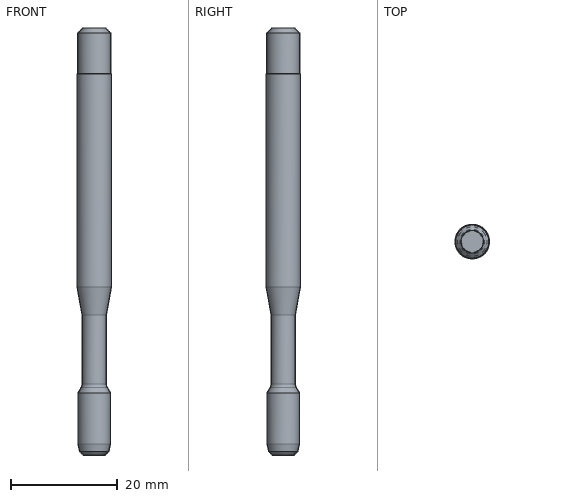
import cadquery as cq
import math


TIP_FACE_DIAMETER = 4.0
HEAD_DIAMETER = 6.11
NECK_DIAMETER = 4.57
SHANK_DIAMETER = 6.48
DRIVE_END_DIAMETER = 6.22

TOTAL_LENGTH = 80.2
TAPER_TOP_Z = 2.1
FILLET_TOP_Z = 13.4
NECK_TOP_Z = 26.3
SHANK_BOTTOM_Z = 31.6
DRIVE_END_BOTTOM_Z = 71.6

TIP_CHAMFER = 0.75
TOP_CHAMFER = 1.0
SHOULDER_CHAMFER_HEIGHT = 0.1
COLLAR_ANGLE = math.radians(30)
NECK_FILLET_RADIUS = 1.25

head_radius = HEAD_DIAMETER / 2
neck_radius = NECK_DIAMETER / 2
shank_radius = SHANK_DIAMETER / 2
drive_end_radius = DRIVE_END_DIAMETER / 2
tip_face_radius = TIP_FACE_DIAMETER / 2


def neck_fillet_point(angle):
    """Point on the fillet, at the given angle away from its tangent point on the neck."""
    radius = neck_radius + NECK_FILLET_RADIUS * (1 - math.cos(angle))
    height = FILLET_TOP_Z - NECK_FILLET_RADIUS * math.sin(angle)
    return radius, height


collar_top_radius, collar_top_z = neck_fillet_point(COLLAR_ANGLE)
head_top_z = collar_top_z - (head_radius - collar_top_radius) / math.tan(COLLAR_ANGLE)


def revolve_about_z(profile):
    """Turn a half profile, drawn as radius and height, about the Z axis."""
    return profile.close().revolve(360, (0, 0, 0), (0, 1, 0))


def make_head():
    """Cylindrical head with a chamfered tip and a slight taper above the chamfer."""
    profile = (
        cq.Workplane("XZ")
        .lineTo(tip_face_radius, 0)
        .lineTo(tip_face_radius + TIP_CHAMFER, TIP_CHAMFER)
        .lineTo(head_radius, TAPER_TOP_Z)
        .lineTo(head_radius, head_top_z)
        .lineTo(0, head_top_z)
    )
    return revolve_about_z(profile)


def make_stem():
    """Collar, filleted neck, cone, shank and chamfered drive end, seated on the head."""
    profile = (
        cq.Workplane("XZ")
        .moveTo(0, head_top_z)
        .lineTo(head_radius, head_top_z)
        .lineTo(collar_top_radius, collar_top_z)
        .threePointArc(neck_fillet_point(COLLAR_ANGLE / 2), neck_fillet_point(0))
        .lineTo(neck_radius, NECK_TOP_Z)
        .lineTo(shank_radius, SHANK_BOTTOM_Z)
        .lineTo(shank_radius, DRIVE_END_BOTTOM_Z - SHOULDER_CHAMFER_HEIGHT)
        .lineTo(drive_end_radius, DRIVE_END_BOTTOM_Z)
        .lineTo(drive_end_radius, TOTAL_LENGTH - TOP_CHAMFER)
        .lineTo(drive_end_radius - TOP_CHAMFER, TOTAL_LENGTH)
        .lineTo(0, TOTAL_LENGTH)
    )
    return revolve_about_z(profile)


head = make_head()
stem = make_stem()

result = cq.Compound.makeCompound([head.val(), stem.val()])